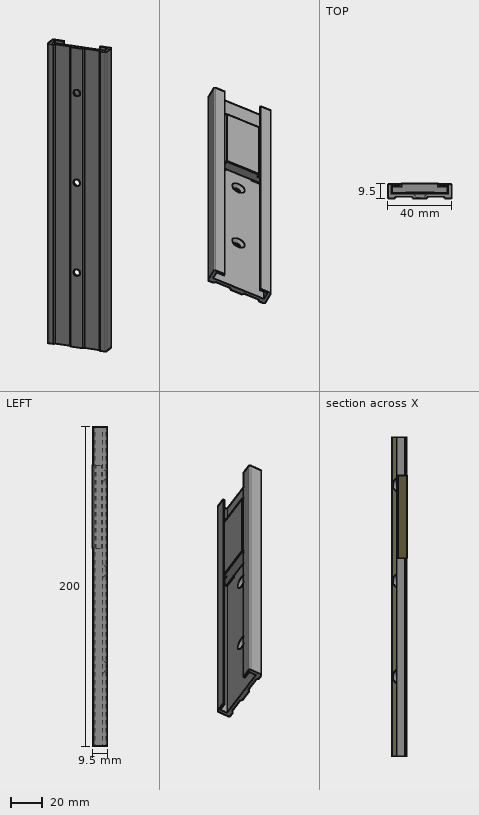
import cadquery as cq

rail_length = 200.0
rail_width = 40.0
rail_height = 9.2
total_height = 9.5
rail_bottom_z = -rail_length / 2
rail_back = -total_height / 2
rail_front = rail_back + rail_height

corner_radius = 0.9
cavity_width = 35.5
floor_thickness = 3.2
lip_thickness = 1.2
lip_gap = 25.0
groove_inner_x = 4.0
groove_outer_x = 16.0
groove_depth = 1.1
cavity_back = rail_back + floor_thickness
cavity_front = rail_front - lip_thickness

hole_diameter = 4.5
countersink_diameter = 8.8
countersink_angle = 45.0
countersink_depth = (countersink_diameter - hole_diameter) / 2
hole_count = 3
hole_pitch = 60.0
top_hole_z = 70.0

slider_length = 52.0
slider_bottom_z = 24.0
slider_front = total_height / 2
slider_end_chamfer = 0.5
neck_width = 22.5

liner_thickness = 0.5
liner_inner_x = 8.8
wing_width = cavity_width - 2 * liner_thickness
wing_back = cavity_back + liner_thickness
wing_front = cavity_front - liner_thickness


def centred_bar(width, back, front, bottom_z, length):
    """Rectangular bar along Z, centred on X = 0, from Y = back to Y = front."""
    return (
        cq.Workplane("XY", origin=(0, (back + front) / 2, bottom_z))
        .rect(width, front - back)
        .extrude(length)
    )


def make_back_groove(side):
    """Groove along the back of the rail; side is -1 or +1."""
    groove_floor = rail_back + groove_depth
    return (
        cq.Workplane("XY", origin=(0, 0, rail_bottom_z))
        .moveTo(side * groove_inner_x, rail_back)
        .lineTo(side * (groove_inner_x + groove_depth), groove_floor)
        .lineTo(side * (groove_outer_x - groove_depth), groove_floor)
        .lineTo(side * groove_outer_x, rail_back)
        .close()
        .extrude(rail_length)
    )


def make_mounting_holes():
    """Countersunk hole cutters, starting at the cavity floor and running toward -Y."""
    centres = [(0, top_hole_z - i * hole_pitch) for i in range(hole_count)]
    hole_plane = cq.Workplane("XZ", origin=(0, cavity_back, 0)).pushPoints(centres)
    shanks = hole_plane.circle(hole_diameter / 2).extrude(floor_thickness)
    sinks = hole_plane.circle(countersink_diameter / 2).extrude(countersink_depth, taper=countersink_angle)
    return shanks.union(sinks)


def make_rail():
    body = centred_bar(rail_width, rail_back, rail_front, rail_bottom_z, rail_length)
    body = body.edges("|Z").fillet(corner_radius)
    body = body.cut(centred_bar(cavity_width, cavity_back, cavity_front, rail_bottom_z, rail_length))
    body = body.cut(centred_bar(lip_gap, cavity_back, rail_front, rail_bottom_z, rail_length))
    for side in (-1, 1):
        body = body.cut(make_back_groove(side))
    return body.cut(make_mounting_holes())


def make_slider():
    wings = centred_bar(wing_width, wing_back, wing_front, slider_bottom_z, slider_length)
    neck = centred_bar(neck_width, wing_back, slider_front, slider_bottom_z, slider_length)
    body = wings.union(neck)
    return body.faces(">Y").edges("|X").chamfer(slider_end_chamfer)


def make_liner(side):
    """Liner wrapped around one slider wing; side is -1 or +1."""
    inner_x = side * liner_inner_x
    wall_x = side * cavity_width / 2
    wing_x = side * wing_width / 2
    lip_x = side * lip_gap / 2
    neck_x = side * neck_width / 2
    return (
        cq.Workplane("XY", origin=(0, 0, slider_bottom_z))
        .moveTo(inner_x, cavity_back)
        .lineTo(wall_x, cavity_back)
        .lineTo(wall_x, cavity_front)
        .lineTo(lip_x, cavity_front)
        .lineTo(lip_x, rail_front)
        .lineTo(neck_x, rail_front)
        .lineTo(neck_x, wing_front)
        .lineTo(wing_x, wing_front)
        .lineTo(wing_x, wing_back)
        .lineTo(inner_x, wing_back)
        .close()
        .extrude(slider_length)
    )


rail = make_rail()
slider = make_slider()
liners = [make_liner(side).val() for side in (-1, 1)]

result = cq.Compound.makeCompound([rail.val(), slider.val(), *liners])